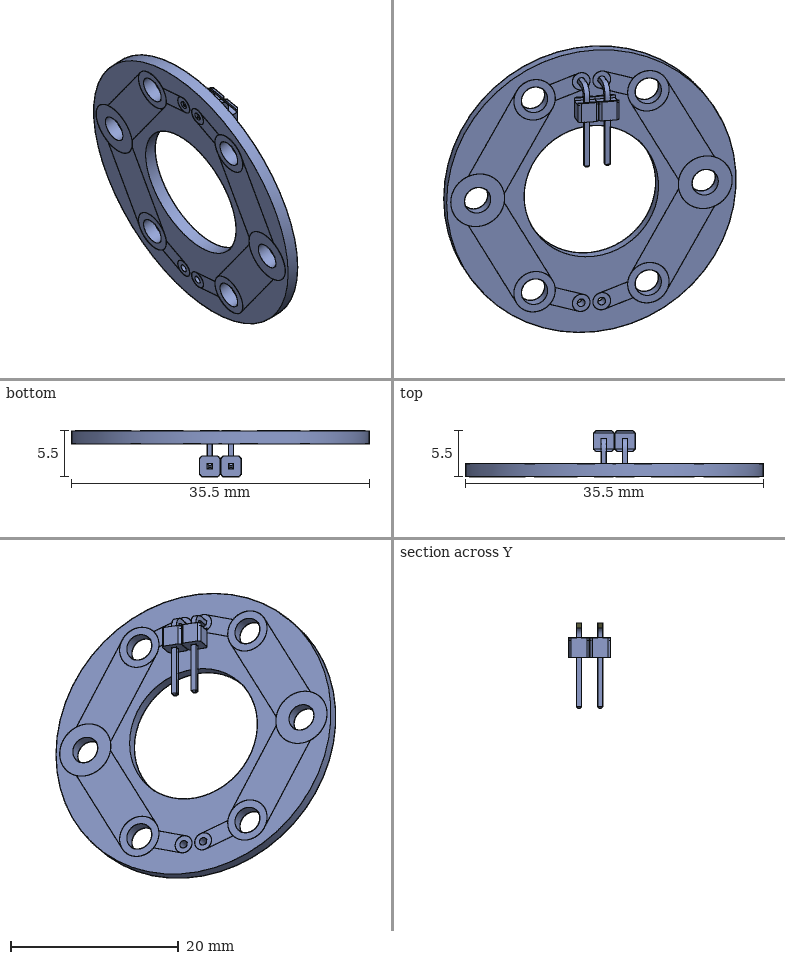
import cadquery as cq
import math

BOARD_DIAMETER = 35.55
BORE_DIAMETER = 16.5
COPPER_SPAN = 1.6
PAD_HEIGHT = 0.05
TRACK_HEIGHT = 0.018
BOARD_FRONT = PAD_HEIGHT
BOARD_THICKNESS = COPPER_SPAN - 2 * PAD_HEIGHT

HOLE_CIRCLE_RADIUS = 13.98
HOLE_DIAMETER = 3.2
SIDE_PAD_DIAMETER = 6.6
SCREW_PAD_DIAMETER = 5.1
SCREW_ANGLE = math.radians(60)
SCREW_X = HOLE_CIRCLE_RADIUS * math.cos(SCREW_ANGLE)
SCREW_Z = HOLE_CIRCLE_RADIUS * math.sin(SCREW_ANGLE)

PIN_PITCH = 2.52
PIN_X = PIN_PITCH / 2
PIN_HOLE_Z = HOLE_CIRCLE_RADIUS
PIN_HOLE_DIAMETER = 0.92
PIN_PAD_DIAMETER = 2.17

PIN_WIDTH = 0.65
PIN_Y = 4.25
PIN_FRONT_Y = 0.0
PIN_BOTTOM_Z = 4.1
PIN_BEND_RADIUS = 1.2
TIP_LENGTH = 0.2
TIP_WIDTH = 0.25

COLLAR_WIDTH = 2.5
COLLAR_CHAMFER = 0.302
COLLAR_BOTTOM_Z = 10.15
COLLAR_TOP_Z = 12.5
COLLAR_CHANNEL_DEPTH = 0.32

SIDES = (-1, 1)


def disc(x, z, diameter, y_start, y_end):
    """Cylinder along Y between two Y positions."""
    return cq.Workplane("XZ", origin=(x, y_start, z)).circle(diameter / 2).extrude(y_start - y_end)


def track(start, end, width):
    """Straight strip between two (x, z) points, as thick as the board with both tracks."""
    run_x = end[0] - start[0]
    run_z = end[1] - start[1]
    middle = cq.Vector((start[0] + end[0]) / 2, COPPER_SPAN / 2, (start[1] + end[1]) / 2)
    thickness = BOARD_THICKNESS + 2 * TRACK_HEIGHT
    strip = cq.Workplane("XY").box(math.hypot(run_x, run_z), thickness, width)
    tilt = -math.degrees(math.atan2(run_z, run_x))
    return strip.rotate((0, 0, 0), (0, 1, 0), tilt).translate(middle)


def make_board():
    """Ring with raised tracks and pads on both faces, and all its holes."""
    board = disc(0, 0, BOARD_DIAMETER, BOARD_FRONT, BOARD_FRONT + BOARD_THICKNESS)
    pads = []
    holes = [disc(0, 0, BORE_DIAMETER, 0, COPPER_SPAN)]

    for side in SIDES:
        side_point = (side * HOLE_CIRCLE_RADIUS, 0)
        pads.append((side_point, SIDE_PAD_DIAMETER, HOLE_DIAMETER))
        for level in SIDES:
            screw_point = (side * SCREW_X, level * SCREW_Z)
            pin_point = (side * PIN_X, level * PIN_HOLE_Z)
            pads.append((screw_point, SCREW_PAD_DIAMETER, HOLE_DIAMETER))
            pads.append((pin_point, PIN_PAD_DIAMETER, PIN_HOLE_DIAMETER))
            board = board.union(track(side_point, screw_point, SCREW_PAD_DIAMETER))
            board = board.union(track(screw_point, pin_point, PIN_PAD_DIAMETER))

    for (x, z), pad_diameter, hole_diameter in pads:
        board = board.union(disc(x, z, pad_diameter, 0, COPPER_SPAN))
        holes.append(disc(x, z, hole_diameter, 0, COPPER_SPAN))
    for hole in holes:
        board = board.cut(hole)
    return board


def pin_tip(workplane):
    """Tapered end that narrows along the normal of the workplane."""
    return (
        workplane.rect(PIN_WIDTH, PIN_WIDTH)
        .workplane(offset=TIP_LENGTH)
        .rect(TIP_WIDTH, TIP_WIDTH)
        .loft(combine=True)
    )


def make_pin(x):
    """Wire from the board hole, bent down through a quarter turn into the hanging leg."""
    wire_front_y = PIN_FRONT_Y + TIP_LENGTH
    wire_bottom_z = PIN_BOTTOM_Z + TIP_LENGTH
    bend_y = PIN_Y - PIN_BEND_RADIUS
    bend_z = PIN_HOLE_Z - PIN_BEND_RADIUS
    bend_middle = PIN_BEND_RADIUS * math.sin(math.radians(45))
    path = (
        cq.Workplane("YZ", origin=(x, 0, 0))
        .moveTo(wire_front_y, PIN_HOLE_Z)
        .lineTo(bend_y, PIN_HOLE_Z)
        .threePointArc((bend_y + bend_middle, bend_z + bend_middle), (PIN_Y, bend_z))
        .lineTo(PIN_Y, wire_bottom_z)
    )
    front_end = cq.Workplane("XZ", origin=(x, wire_front_y, PIN_HOLE_Z))
    bottom_end = cq.Workplane("XY", origin=(x, PIN_Y, wire_bottom_z)).transformed(rotate=(180, 0, 0))
    wire = front_end.rect(PIN_WIDTH, PIN_WIDTH).sweep(path)
    return wire.union(pin_tip(front_end)).union(pin_tip(bottom_end))


def make_collar(x):
    """Chamfered block with a channel along X in its top and a square hole for the pin."""
    height = COLLAR_TOP_Z - COLLAR_BOTTOM_Z
    channel_width = COLLAR_WIDTH - 2 * COLLAR_CHAMFER
    base = cq.Workplane("XY", origin=(x, PIN_Y, COLLAR_BOTTOM_Z))
    top = base.workplane(offset=height)
    block = base.rect(COLLAR_WIDTH, COLLAR_WIDTH).extrude(height).edges("|Z").chamfer(COLLAR_CHAMFER)
    channel = top.rect(COLLAR_WIDTH, channel_width).extrude(-COLLAR_CHANNEL_DEPTH)
    pin_hole = base.rect(PIN_WIDTH, PIN_WIDTH).extrude(height)
    return block.cut(channel).cut(pin_hole)


board = make_board()
pins = [make_pin(side * PIN_X) for side in SIDES]
collars = [make_collar(side * PIN_X) for side in SIDES]

result = cq.Compound.makeCompound(
    [board.val(), *[pin.val() for pin in pins], *[collar.val() for collar in collars]]
)